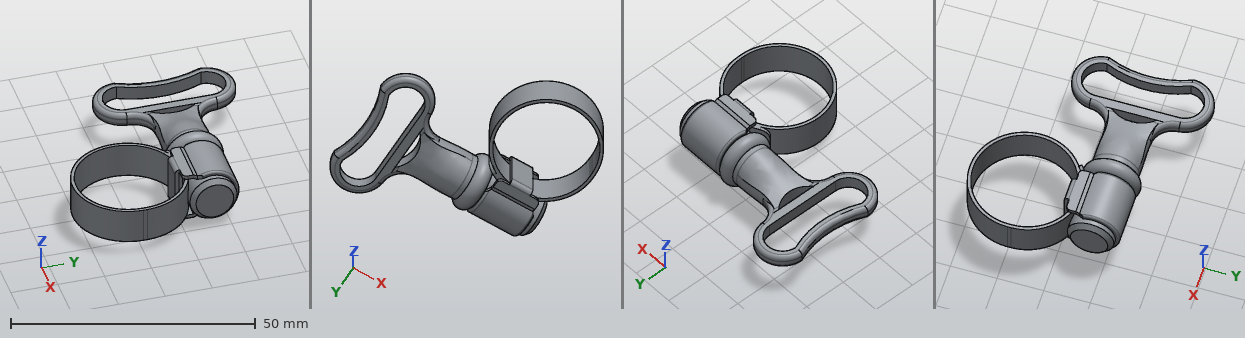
import cadquery as cq
import math


strap_radius = 11.7
strap_thickness = 0.75
strap_width = 7.7
strap_y = -16.29
strap_inner_radius = strap_radius - strap_thickness
lap_radius = strap_radius + strap_thickness
lap_angle = 39.0
lap_corner = 2.0

plate_thickness = 3.0
plate_edge_fillet = 1.0
eye_x = -29.34
eye_y = 9.0
eye_radius = 6.0
eye_wall = 2.0
eye_bow = 1.9
bow_overrun_angle = 5.0
flank_radius = 4.6
slot_radius = eye_radius - eye_wall
bar_x = eye_x + eye_radius

pin_radius = 5.0
pin_end_x = 7.8
pin_chamfer = 1.0

window_half_width = 4.75
window_depth = 2.0

neck_end_x = -10.7
neck_corner_z = 1.5
neck_stations = [
    (bar_x, 1.53, 6.5, 6.1, neck_corner_z),
    (-22.0, 1.65, 5.5, 5.1, 1.55),
    (-18.6, 2.55, pin_radius, 4.5, 1.75),
    (-15.2, 3.95, pin_radius, 4.7, 1.65),
    (neck_end_x, pin_radius, pin_radius, math.sqrt(pin_radius**2 - neck_corner_z**2), neck_corner_z),
]

collar_x = -7.63
collar_bead_radius = 2.0
collar_radius = 6.25

sheet = 0.85
clip_half_length = 5.75
clip_outer_radius = pin_radius + sheet
clip_edge_fillet = 0.5
leg_z = 5.4
leg_half_length = 5.0
leg_corner = 1.0
leg_end_y = -5.93
flare_start_y = -2.92
flare_end_y = -3.73
shoulder_y = -1.9
bridge_y = -7.0
bridge_half_length = 2.5
bend_radius = 1.0


def strap_point(radius, degrees):
    """Point on a circle about the strap axis, measured from the top of the ring toward -X."""
    angle = math.radians(degrees)
    return (-radius * math.sin(angle), strap_y + radius * math.cos(angle))


def make_strap():
    rise_y = strap_y + strap_thickness
    diagonal = math.sqrt(0.5)

    ring = (
        cq.Workplane("XY")
        .moveTo(*strap_point(strap_inner_radius, 0))
        .threePointArc(strap_point(strap_inner_radius, 135), strap_point(strap_inner_radius, 270))
        .lineTo(*strap_point(strap_radius, 270))
        .threePointArc(strap_point(strap_radius, 135), strap_point(strap_radius, 0))
        .close()
        .extrude(strap_width / 2, both=True)
    )

    rise = (
        cq.Workplane("XY")
        .moveTo(strap_inner_radius, strap_y)
        .lineTo(strap_inner_radius, rise_y)
        .threePointArc(
            (strap_inner_radius * diagonal, rise_y + strap_inner_radius * diagonal),
            (0, rise_y + strap_inner_radius),
        )
        .lineTo(0, rise_y + strap_radius)
        .threePointArc(
            (strap_radius * diagonal, rise_y + strap_radius * diagonal),
            (strap_radius, rise_y),
        )
        .lineTo(strap_radius, strap_y)
        .close()
        .extrude(strap_width / 2, both=True)
    )

    lap = (
        cq.Workplane("XY")
        .moveTo(*strap_point(strap_radius, 0))
        .threePointArc(strap_point(strap_radius, lap_angle / 2), strap_point(strap_radius, lap_angle))
        .lineTo(*strap_point(lap_radius, lap_angle))
        .threePointArc(strap_point(lap_radius, lap_angle / 2), strap_point(lap_radius, 0))
        .close()
        .extrude(strap_width / 2, both=True)
    )
    lap = lap.edges("%LINE and #Z").edges("<X").fillet(lap_corner)
    return ring.union(rise).union(lap)


def space_between_eye_ends():
    """Block that spans the eye from one end disc centre to the other."""
    return cq.Workplane("XY").box(2 * eye_radius, 2 * eye_y, plate_thickness).translate((eye_x, 0, 0))


def make_eye_ends():
    """Two half discs with rounded rims that form the outer ends of the eye."""
    discs = (
        cq.Workplane("XY")
        .pushPoints([(eye_x, eye_y), (eye_x, -eye_y)])
        .circle(eye_radius)
        .extrude(plate_thickness / 2, both=True)
        .faces("|Z")
        .edges()
        .fillet(plate_edge_fillet)
    )
    return discs.cut(space_between_eye_ends())


def make_bow():
    """Bowed bar between the eye ends, rounded on its outer side and turned about a centre at -X."""
    bow_radius = (eye_y**2 + eye_bow**2) / (2 * eye_bow)
    bow_center_x = eye_x - eye_radius + eye_bow - bow_radius
    bow_angle = math.degrees(math.asin(eye_y / bow_radius)) + bow_overrun_angle
    bar = (
        cq.Workplane("XZ", origin=(bow_center_x, 0, 0))
        .center(bow_radius + eye_wall / 2, 0)
        .rect(eye_wall, plate_thickness)
        .revolve(2 * bow_angle, (-bow_radius - eye_wall / 2, 0), (-bow_radius - eye_wall / 2, 1))
        .rotate((bow_center_x, 0, 0), (bow_center_x, 0, 1), -bow_angle)
        .edges("%CIRCLE")
        .edges("<X")
        .fillet(plate_edge_fillet)
    )
    return bar.intersect(space_between_eye_ends())


def make_flank_plate():
    """Flat plate that carries the crossbar and narrows along round flanks to the neck."""
    flank_x = bar_x + flank_radius
    flank_y = pin_radius + flank_radius
    flank_offset = flank_radius * math.sqrt(0.5)
    crossbar_x = bar_x - eye_wall
    return (
        cq.Workplane("XY")
        .moveTo(crossbar_x, flank_y)
        .lineTo(bar_x, flank_y)
        .threePointArc((flank_x - flank_offset, flank_y - flank_offset), (flank_x, pin_radius))
        .lineTo(flank_x, -pin_radius)
        .threePointArc((flank_x - flank_offset, flank_offset - flank_y), (bar_x, -flank_y))
        .lineTo(crossbar_x, -flank_y)
        .close()
        .extrude(plate_thickness / 2, both=True)
        .faces("|Z")
        .edges("%CIRCLE")
        .fillet(plate_edge_fillet)
    )


def make_neck():
    """Loft of four-arc sections that swell from the flat plate to the full round of the pin."""
    start_x = neck_stations[0][0]
    sections = cq.Workplane("YZ").workplane(offset=start_x)
    previous_x = start_x
    for x, half_height, half_width, corner_y, corner_z in neck_stations:
        sections = (
            sections.workplane(offset=x - previous_x)
            .moveTo(corner_y, corner_z)
            .threePointArc((0, half_height), (-corner_y, corner_z))
            .threePointArc((-half_width, 0), (-corner_y, -corner_z))
            .threePointArc((0, -half_height), (corner_y, -corner_z))
            .threePointArc((half_width, 0), (corner_y, corner_z))
            .close()
        )
        previous_x = x
    return sections.loft(ruled=False)


def make_pin():
    pin = (
        cq.Workplane("YZ")
        .workplane(offset=neck_end_x)
        .circle(pin_radius)
        .extrude(pin_end_x - neck_end_x)
        .faces(">X")
        .chamfer(pin_chamfer)
    )
    collar = (
        cq.Workplane("XY")
        .center(collar_x, collar_radius - collar_bead_radius)
        .circle(collar_bead_radius)
        .revolve(360, (0, collar_bead_radius - collar_radius), (1, collar_bead_radius - collar_radius))
    )
    return pin.union(collar)


def make_slot():
    slot_left = eye_x - slot_radius
    slot_right = eye_x + slot_radius
    return (
        cq.Workplane("XY")
        .moveTo(slot_left, eye_y)
        .threePointArc((eye_x, eye_y + slot_radius), (slot_right, eye_y))
        .lineTo(slot_right, -eye_y)
        .threePointArc((eye_x, -eye_y - slot_radius), (slot_left, -eye_y))
        .threePointArc((slot_left + eye_bow, 0), (slot_left, eye_y))
        .close()
        .extrude(plate_thickness, both=True)
    )


def make_window():
    return (
        cq.Workplane("XY")
        .moveTo(bar_x, window_half_width)
        .threePointArc((bar_x + window_depth, 0), (bar_x, -window_half_width))
        .close()
        .extrude(plate_thickness, both=True)
    )


def make_handle():
    handle = make_eye_ends().union(make_bow()).union(make_flank_plate())
    handle = handle.union(make_neck()).union(make_pin())
    handle = handle.cut(make_slot()).cut(make_window())
    strap_seat = (
        cq.Workplane("XY")
        .center(0, strap_y)
        .circle(lap_radius)
        .extrude(strap_width / 2, both=True)
    )
    return handle.cut(strap_seat)


def clip_loop(radius, flat_z, flare_near_y, flare_far_y, end_y):
    """Solid filling the clip section: round over the pin, flared into flat legs, square at the end."""
    flare_z = math.sqrt(radius**2 - flare_near_y**2)
    return (
        cq.Workplane("YZ")
        .moveTo(flare_near_y, flare_z)
        .threePointArc((radius, 0), (flare_near_y, -flare_z))
        .lineTo(flare_far_y, -flat_z)
        .lineTo(end_y, -flat_z)
        .lineTo(end_y, flat_z)
        .lineTo(flare_far_y, flat_z)
        .close()
        .extrude(clip_half_length, both=True)
    )


def make_clip():
    outside = clip_loop(clip_outer_radius, leg_z, flare_start_y, flare_end_y, bridge_y)
    outside = outside.edges("|X").edges("<Y").fillet(bend_radius)
    outside = outside.edges("%CIRCLE").edges(">X or <X").edges(">Y").fillet(clip_edge_fillet)
    inside = clip_loop(pin_radius, leg_z - sheet, flare_start_y, flare_end_y, bridge_y + sheet)

    body_plan = (
        cq.Workplane("XY")
        .moveTo(-clip_half_length, clip_outer_radius)
        .lineTo(clip_half_length, clip_outer_radius)
        .lineTo(clip_half_length, shoulder_y)
        .lineTo(leg_half_length, flare_start_y)
        .lineTo(leg_half_length, leg_end_y)
        .lineTo(-leg_half_length, leg_end_y)
        .lineTo(-leg_half_length, flare_start_y)
        .lineTo(-clip_half_length, shoulder_y)
        .close()
        .extrude(clip_outer_radius, both=True)
        .edges("|Z and <Y")
        .fillet(leg_corner)
    )
    bridge_plan = cq.Workplane("XY").box(
        2 * bridge_half_length, -2 * bridge_y, 2 * clip_outer_radius
    )
    return outside.cut(inside).intersect(body_plan.union(bridge_plan))


strap = make_strap()
handle = make_handle()
clip = make_clip()

result = cq.Compound.makeCompound(
    [handle.solids().val(), clip.solids().val(), strap.solids().val()]
)